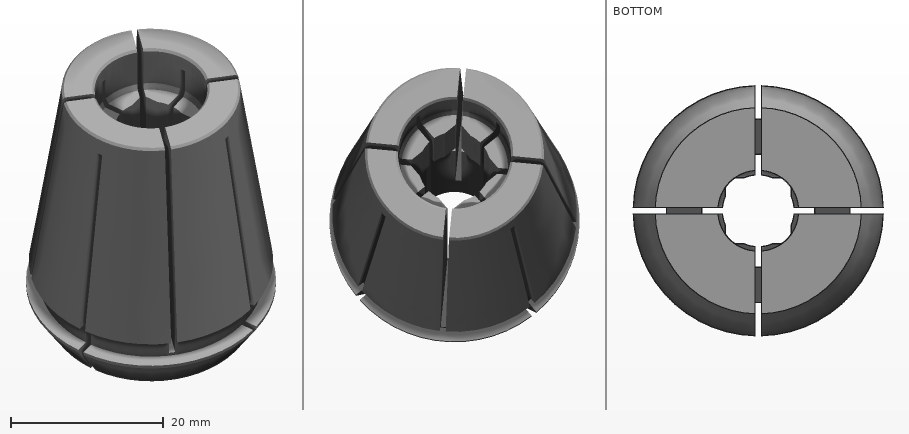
import cadquery as cq
import math

length = 40.0
collar_radius = 16.4
collar_top = 5.5
collar_rim_height = 0.5
collar_half_angle = 30.0
neck_radius = 14.65
neck_top = 9.0
cone_base_radius = 16.04
cone_half_angle = 8.0
top_chamfer = 0.3

counterbore_radius = 7.4
counterbore_depth = 6.8
mouth_chamfer = 0.3
floor_chamfer_width = 0.4
floor_chamfer_height = 0.8

shank_radius = 5.3
square_width = 8.6
pilot_radius = 4.7
square_length = 12.0

slot_width = 0.8
slot_end_margin = 2.5
slot_overrun = 1.0
diagonal_slot_floor = 6.0

rim_bottom = collar_top - collar_rim_height
base_radius = collar_radius - rim_bottom * math.tan(math.radians(collar_half_angle))
chamfer_bottom = length - top_chamfer
cone_top_radius = cone_base_radius - (chamfer_bottom - neck_top) * math.tan(math.radians(cone_half_angle))
counterbore_floor = length - counterbore_depth
square_bottom = counterbore_floor - square_length
cross_slot_height = length - slot_end_margin
slot_length = 2 * collar_radius + slot_overrun


def revolve_profile(points):
    """Revolve a closed (radius, height) outline about the Z axis."""
    return cq.Workplane("XZ").polyline(points).close().revolve(360, (0, 0, 0), (0, 1, 0))


def make_body():
    """Locking cone, neck groove and collar as one turned blank."""
    return revolve_profile([
        (0, 0),
        (base_radius, 0),
        (collar_radius, rim_bottom),
        (collar_radius, collar_top),
        (neck_radius, collar_top),
        (neck_radius, neck_top),
        (cone_base_radius, neck_top),
        (cone_top_radius, chamfer_bottom),
        (cone_top_radius - top_chamfer, length),
        (0, length),
    ])


def make_counterbore():
    """Round recess in the top face with a chamfered mouth and floor edge."""
    return revolve_profile([
        (0, counterbore_floor),
        (counterbore_radius - floor_chamfer_width, counterbore_floor),
        (counterbore_radius, counterbore_floor + floor_chamfer_height),
        (counterbore_radius, length - mouth_chamfer),
        (counterbore_radius + mouth_chamfer, length),
        (0, length),
    ])


def make_shank_bore():
    """Round bore from the bottom face up to the square drive."""
    return cq.Workplane("XY").circle(shank_radius).extrude(square_bottom)


def make_square_drive():
    """Square socket with sharp corners, its flats relieved by the round pilot hole."""
    start = cq.Workplane("XY").workplane(offset=square_bottom)
    square = start.rect(square_width, square_width).extrude(square_length)
    pilot = start.circle(pilot_radius).extrude(square_length)
    return square.union(pilot)


def make_slots(first_angle, bottom, top):
    """Two crossing slots through the full diameter between two heights."""
    slot = cq.Workplane("XY").workplane(offset=bottom).rect(slot_length, slot_width).extrude(top - bottom)
    slot = slot.rotate((0, 0, 0), (0, 0, 1), first_angle)
    return slot.union(slot.rotate((0, 0, 0), (0, 0, 1), 90))


result = (
    make_body()
    .cut(make_counterbore())
    .cut(make_shank_bore())
    .cut(make_square_drive())
    .cut(make_slots(0, 0, cross_slot_height))
    .cut(make_slots(45, diagonal_slot_floor, length))
)